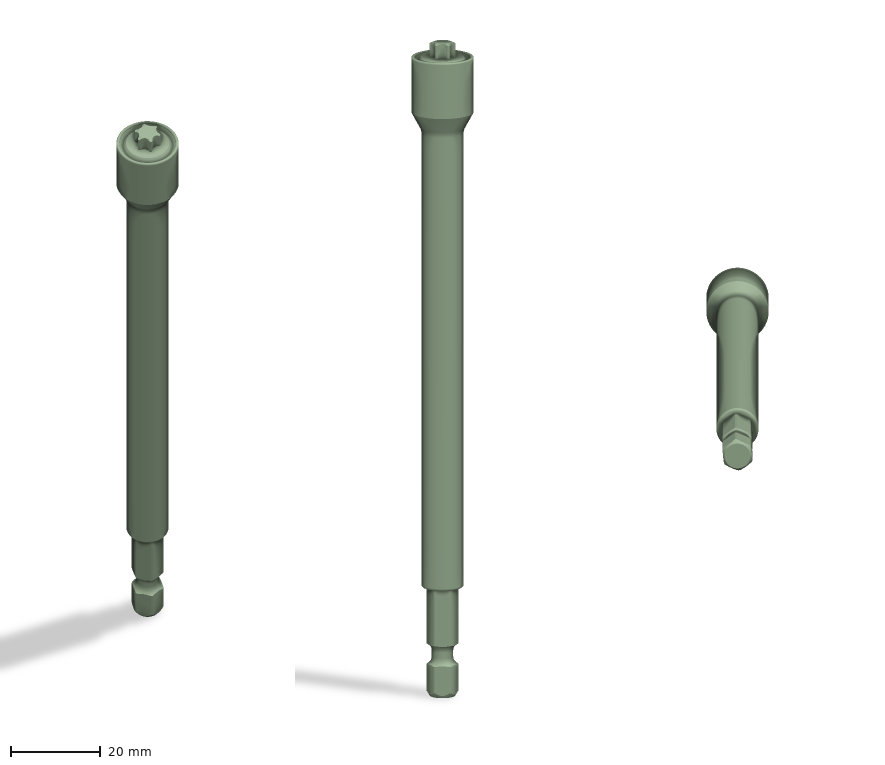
import cadquery as cq
import math

TOTAL_HEIGHT = 150.0
HEAD_TOP = 146.7
MAGNET_TOP = 146.5
CUP_FLOOR = 134.0
CONE_TOP = CUP_FLOOR
CONE_BOTTOM = 130.5
HEAD_BOTTOM = 129.2
TUBE_BOTTOM = 24.9

TUBE_DIAMETER = 9.5
TUBE_RADIUS = TUBE_DIAMETER / 2
TUBE_END_FILLET = 0.6
HEX_SIDES = 6
HEX_ACROSS_FLATS = 6.5
HEX_VERTEX_RADIUS = HEX_ACROSS_FLATS / 2 / math.cos(math.pi / HEX_SIDES)
HEX_CORNER_RADIUS = 3.6
SHANK_TIP_RADIUS = 2.8
SHANK_TIP_CHAMFER = 1.2
GROOVE_RADIUS = 2.4
GROOVE_TOP = 12.0
GROOVE_WAIST_TOP = 10.4
GROOVE_WAIST_BOTTOM = 9.0
GROOVE_BOTTOM = 7.2

HEAD_DIAMETER = 14.0
HEAD_RADIUS = HEAD_DIAMETER / 2
RIM_ROUND = 0.38
RIM_INNER_RADIUS = HEAD_RADIUS - 2 * RIM_ROUND
CONE_BOTTOM_RADIUS = 5.1

MAGNET_RADIUS = 5.5
MAGNET_CHAMFER = 0.8

LOBES = 6
LOBE_TIP_DIAMETER = 5.8
LOBE_VALLEY_DIAMETER = 4.0
LOBE_TIP_RADIUS = LOBE_TIP_DIAMETER / 2
LOBE_VALLEY_RADIUS = LOBE_VALLEY_DIAMETER / 2
LOBE_ROUND = 0.38
BIT_COLLAR_RADIUS = LOBE_TIP_RADIUS
BIT_END_DROP = 0.3


def cylinder(radius, bottom, top):
    return cq.Workplane("XY").workplane(offset=bottom).circle(radius).extrude(top - bottom)


def revolved(profile):
    """Spin a closed radius-height profile about Z."""
    return profile.close().revolve(360, (0, 0, 0), (0, 1, 0))


def polar(radius, angle):
    return (radius * math.cos(angle), radius * math.sin(angle))


def tangent_arc_middle(radius, height, width, rise):
    """Middle of an arc that leaves (radius, height) along Z and flares out by width over rise."""
    arc_radius = (width**2 + rise**2) / (2 * width)
    half_angle = math.atan2(width, abs(rise))
    return (
        radius + arc_radius * (1 - math.cos(half_angle)),
        height + math.copysign(arc_radius * math.sin(half_angle), rise),
    )


def make_shaft():
    tube = cylinder(TUBE_RADIUS, TUBE_BOTTOM, HEAD_BOTTOM)
    tube = tube.faces("<Z").edges().fillet(TUBE_END_FILLET)
    hexagon = cq.Workplane("XY").polygon(HEX_SIDES, 2 * HEX_VERTEX_RADIUS).extrude(TUBE_BOTTOM)
    return tube.union(hexagon.intersect(shank_envelope()))


def shank_envelope():
    """Round outline of the shank: tip chamfer and a groove with curved ends."""
    groove_depth = HEX_CORNER_RADIUS - GROOVE_RADIUS
    upper_middle = tangent_arc_middle(
        GROOVE_RADIUS, GROOVE_WAIST_TOP, groove_depth, GROOVE_TOP - GROOVE_WAIST_TOP
    )
    lower_middle = tangent_arc_middle(
        GROOVE_RADIUS, GROOVE_WAIST_BOTTOM, groove_depth, GROOVE_BOTTOM - GROOVE_WAIST_BOTTOM
    )
    profile = (
        cq.Workplane("XZ")
        .moveTo(0, TUBE_BOTTOM)
        .lineTo(HEX_CORNER_RADIUS, TUBE_BOTTOM)
        .lineTo(HEX_CORNER_RADIUS, GROOVE_TOP)
        .threePointArc(upper_middle, (GROOVE_RADIUS, GROOVE_WAIST_TOP))
        .lineTo(GROOVE_RADIUS, GROOVE_WAIST_BOTTOM)
        .threePointArc(lower_middle, (HEX_CORNER_RADIUS, GROOVE_BOTTOM))
        .lineTo(HEX_CORNER_RADIUS, SHANK_TIP_CHAMFER)
        .lineTo(SHANK_TIP_RADIUS, 0)
        .lineTo(0, 0)
    )
    return revolved(profile)


def make_head():
    neck_middle = tangent_arc_middle(
        TUBE_RADIUS, HEAD_BOTTOM, CONE_BOTTOM_RADIUS - TUBE_RADIUS, CONE_BOTTOM - HEAD_BOTTOM
    )
    profile = (
        cq.Workplane("XZ")
        .moveTo(0, HEAD_BOTTOM)
        .lineTo(TUBE_RADIUS, HEAD_BOTTOM)
        .threePointArc(neck_middle, (CONE_BOTTOM_RADIUS, CONE_BOTTOM))
        .lineTo(HEAD_RADIUS, CONE_TOP)
        .lineTo(HEAD_RADIUS, HEAD_TOP - RIM_ROUND)
        .threePointArc((HEAD_RADIUS - RIM_ROUND, HEAD_TOP), (RIM_INNER_RADIUS, HEAD_TOP - RIM_ROUND))
        .lineTo(MAGNET_RADIUS, MAGNET_TOP - MAGNET_CHAMFER)
        .lineTo(MAGNET_RADIUS, CUP_FLOOR)
        .lineTo(0, CUP_FLOOR)
    )
    return revolved(profile)


def make_magnet():
    ring = cylinder(MAGNET_RADIUS, CUP_FLOOR, MAGNET_TOP).faces(">Z").edges().chamfer(MAGNET_CHAMFER)
    return ring.cut(cylinder(BIT_COLLAR_RADIUS, CUP_FLOOR, MAGNET_TOP))


def make_bit():
    collar = cylinder(BIT_COLLAR_RADIUS, CUP_FLOOR, MAGNET_TOP)
    return collar.union(six_lobe_star().intersect(bit_envelope()))


def bit_envelope():
    """Round outline of the bit: a shallow cone cuts the lobes at the end face."""
    profile = (
        cq.Workplane("XZ")
        .moveTo(0, MAGNET_TOP)
        .lineTo(BIT_COLLAR_RADIUS, MAGNET_TOP)
        .lineTo(BIT_COLLAR_RADIUS, TOTAL_HEIGHT - BIT_END_DROP)
        .lineTo(LOBE_VALLEY_RADIUS, TOTAL_HEIGHT)
        .lineTo(0, TOTAL_HEIGHT)
    )
    return revolved(profile)


def six_lobe_star():
    """Star of tangent arcs: convex lobes, one on +X, alternate with concave valleys."""
    half_pitch = math.pi / LOBES
    lobe_centre = LOBE_TIP_RADIUS - LOBE_ROUND
    reach = lobe_centre * math.cos(half_pitch)
    valley_round = (
        (LOBE_ROUND**2 - lobe_centre**2 - LOBE_VALLEY_RADIUS**2 + 2 * reach * LOBE_VALLEY_RADIUS)
        / (2 * (LOBE_VALLEY_RADIUS - reach - LOBE_ROUND))
    )
    valley_centre = LOBE_VALLEY_RADIUS + valley_round
    share = LOBE_ROUND / (LOBE_ROUND + valley_round)
    touch_x = lobe_centre + share * (valley_centre * math.cos(half_pitch) - lobe_centre)
    touch_y = share * valley_centre * math.sin(half_pitch)
    touch_radius = math.hypot(touch_x, touch_y)
    touch_angle = math.atan2(touch_y, touch_x)

    star = cq.Workplane("XY").workplane(offset=MAGNET_TOP).moveTo(*polar(touch_radius, -touch_angle))
    for i in range(LOBES):
        lobe = 2 * half_pitch * i
        next_lobe = lobe + 2 * half_pitch
        star = star.threePointArc(polar(LOBE_TIP_RADIUS, lobe), polar(touch_radius, lobe + touch_angle))
        star = star.threePointArc(
            polar(LOBE_VALLEY_RADIUS, lobe + half_pitch), polar(touch_radius, next_lobe - touch_angle)
        )
    return star.close().extrude(TOTAL_HEIGHT - MAGNET_TOP)


shaft = make_shaft()
head = make_head()
magnet = make_magnet()
bit = make_bit()
result = cq.Compound.makeCompound([shaft.val(), head.val(), magnet.val(), bit.val()])